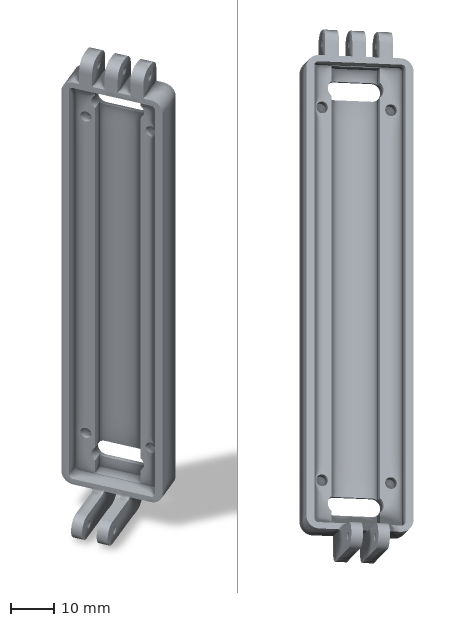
import cadquery as cq


TOTAL_LENGTH = 125.7
TOTAL_DEPTH = 21.5

TRAY_WIDTH = 25.4
TRAY_DEPTH = 8.0
TRAY_LENGTH = 112.4
TRAY_CORNER_RADIUS = 3.0
SIDE_WALL = 1.9
END_WALL = 1.5
POCKET_DEPTH = 4.0
POCKET_CORNER_RADIUS = 1.0
POCKET_WIDTH = TRAY_WIDTH - 2 * SIDE_WALL

CENTRE_X = -0.19

CHANNEL_WIDTH = 11.5
CHANNEL_END_STEP = 0.1
FLOOR_THICKNESS = 1.0
CHANNEL_DEPTH = TRAY_DEPTH - FLOOR_THICKNESS

SLOT_LENGTH = 13.2
SLOT_HEIGHT = 4.4
SLOT_INSET = 6.9

SCREW_HOLE_DIAMETER = 2.8
SCREW_HOLE_DEPTH = 2.5
SCREW_HOLE_SPACING = 16.3
TOP_SCREW_HOLE_INSET = 11.6
BOTTOM_SCREW_HOLE_INSET = 12.3

KNUCKLE_PITCH = 6.4
KNUCKLE_RADIUS = 3.1
TOP_KNUCKLE_WIDTH = 3.3
BOTTOM_KNUCKLE_WIDTH = 2.8
BOTTOM_KNUCKLE_HEIGHT = 6.7
TOP_KNUCKLE_HEIGHT = TOTAL_LENGTH - TRAY_LENGTH - BOTTOM_KNUCKLE_HEIGHT
TOP_PIN_DIAMETER = 2.0
TOP_PIN_INSET = 3.0

ARM_REACH = TOTAL_DEPTH - TRAY_DEPTH
ARM_TOP_Z = -0.4
ARM_BOTTOM_Z = -6.5
ARM_TIP_RADIUS = 3.0
ARM_ROOT_BLEND = 0.8
ARM_PIN_DIAMETER = 1.9
ARM_PIN_INSET = 4.1
ARM_MID_Z = (ARM_TOP_Z + ARM_BOTTOM_Z) / 2


def box(width, y_front, y_back, z_low, z_high, x_centre=0.0):
    """Block given by its width about x_centre and its Y and Z limits."""
    block = cq.Workplane("XY").box(width, y_back - y_front, z_high - z_low)
    return block.translate((x_centre, (y_front + y_back) / 2, (z_low + z_high) / 2))


def rod(diameter, width, x_centre, y, z):
    """Cylinder along X, centred on x_centre."""
    start = cq.Workplane("YZ", origin=(x_centre - width / 2, y, z))
    return start.circle(diameter / 2).extrude(width)


def front_plane(x, z):
    """Workplane on the open face, extruding toward the back."""
    return cq.Workplane("XZ", origin=(x, 0, z))


def make_tray():
    tray = box(TRAY_WIDTH, 0, TRAY_DEPTH, 0, TRAY_LENGTH).edges("|Y").fillet(TRAY_CORNER_RADIUS)
    pocket_top = TRAY_LENGTH - END_WALL
    pocket = box(POCKET_WIDTH, 0, POCKET_DEPTH, END_WALL, pocket_top)
    pocket = pocket.edges("|Y").fillet(POCKET_CORNER_RADIUS)
    channel_bottom = END_WALL + CHANNEL_END_STEP
    channel_top = pocket_top - CHANNEL_END_STEP
    channel = box(CHANNEL_WIDTH, 0, CHANNEL_DEPTH, channel_bottom, channel_top, CENTRE_X)
    tray = tray.cut(pocket).cut(channel)

    for z in (SLOT_INSET, TRAY_LENGTH - SLOT_INSET):
        slot = front_plane(CENTRE_X, z).slot2D(SLOT_LENGTH, SLOT_HEIGHT).extrude(-TRAY_DEPTH)
        tray = tray.cut(slot)

    for side in (-1, 1):
        x = side * SCREW_HOLE_SPACING / 2
        for z in (BOTTOM_SCREW_HOLE_INSET, TRAY_LENGTH - TOP_SCREW_HOLE_INSET):
            hole = front_plane(x, z).circle(SCREW_HOLE_DIAMETER / 2)
            tray = tray.cut(hole.extrude(-POCKET_DEPTH - SCREW_HOLE_DEPTH))
    return tray


def make_top_knuckle(x):
    tip_z = TRAY_LENGTH + TOP_KNUCKLE_HEIGHT
    knuckle = box(TOP_KNUCKLE_WIDTH, 0, TRAY_DEPTH, TRAY_LENGTH - END_WALL, tip_z, x)
    knuckle = knuckle.edges("|X and >Z").fillet(KNUCKLE_RADIUS)
    pin_hole = rod(TOP_PIN_DIAMETER, TOP_KNUCKLE_WIDTH, x, TRAY_DEPTH / 2, tip_z - TOP_PIN_INSET)
    return knuckle.cut(pin_hole)


def make_bottom_knuckle(x):
    knuckle = box(BOTTOM_KNUCKLE_WIDTH, 0, TRAY_DEPTH, -BOTTOM_KNUCKLE_HEIGHT, END_WALL, x)
    knuckle = knuckle.edges("|X and <Z").fillet(KNUCKLE_RADIUS)

    arm = box(BOTTOM_KNUCKLE_WIDTH, -ARM_REACH, TRAY_DEPTH / 2, ARM_BOTTOM_Z, ARM_TOP_Z, x)
    arm = arm.edges("|X and <Y").fillet(ARM_TIP_RADIUS)
    pin_hole = rod(ARM_PIN_DIAMETER, BOTTOM_KNUCKLE_WIDTH, x, ARM_PIN_INSET - ARM_REACH, ARM_MID_Z)

    blend = box(BOTTOM_KNUCKLE_WIDTH, -ARM_ROOT_BLEND, 0, ARM_TOP_Z, ARM_TOP_Z + ARM_ROOT_BLEND, x)
    hollow = rod(2 * ARM_ROOT_BLEND, BOTTOM_KNUCKLE_WIDTH, x, -ARM_ROOT_BLEND, ARM_TOP_Z + ARM_ROOT_BLEND)
    blend = blend.cut(hollow)
    return knuckle.union(arm).union(blend).cut(pin_hole)


result = make_tray()
for step in (-1, 0, 1):
    result = result.union(make_top_knuckle(CENTRE_X + step * KNUCKLE_PITCH))
for step in (-0.5, 0.5):
    result = result.union(make_bottom_knuckle(CENTRE_X + step * KNUCKLE_PITCH))